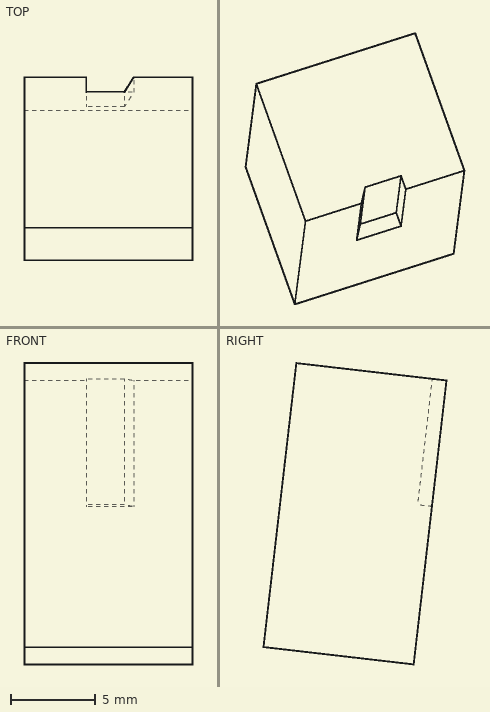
import cadquery as cq
import math

overall_height = 17.92
width = 10.0
depth = 9.0
tilt = 6.6
tilt_radians = math.radians(tilt)
length = (overall_height - depth * math.sin(tilt_radians)) / math.cos(tilt_radians)

groove_depth = 0.88
groove_length = 7.53
groove_left = -1.3
groove_floor_width = 2.25
groove_mouth_width = 2.8

back = depth / 2


def make_groove():
    floor = back - groove_depth
    return (
        cq.Workplane("XY", origin=(0, 0, length / 2))
        .moveTo(groove_left, back)
        .lineTo(groove_left, floor)
        .lineTo(groove_left + groove_floor_width, floor)
        .lineTo(groove_left + groove_mouth_width, back)
        .close()
        .extrude(-groove_length)
    )


block = cq.Workplane("XY").box(width, depth, length)

result = block.cut(make_groove()).rotate((0, 0, 0), (1, 0, 0), -tilt)